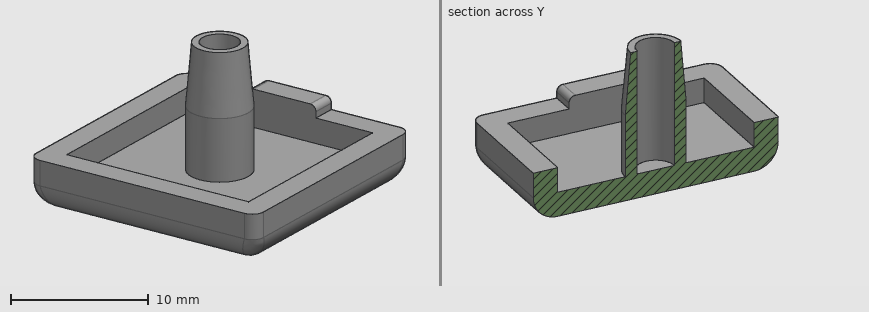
import cadquery as cq

side = 20.0
tray_height = 4.0
wall = 2.0
floor = 2.0
corner_radius = 1.0
bottom_radius = 2.0

total_height = 12.0
taper_height = 5.0
post_radius = 2.5
tip_radius = 2.05
bore_radius = 1.5
bore_bottom = floor

tab_width = 6.0
tab_height = 1.0
tab_round = 0.5


def make_tray():
    """Block with rounded upright and lower edges and a square pocket."""
    block = (
        cq.Workplane("XY")
        .box(side, side, tray_height, centered=(True, True, False))
        .edges("|Z")
        .fillet(corner_radius)
        .faces("<Z")
        .edges()
        .fillet(bottom_radius)
    )
    pocket_side = side - 2 * wall
    pocket = (
        cq.Workplane("XY")
        .workplane(offset=floor)
        .rect(pocket_side, pocket_side)
        .extrude(tray_height - floor)
    )
    return block.cut(pocket)


def make_post():
    """Solid post standing on the pocket floor, profile revolved about Z."""
    return (
        cq.Workplane("XZ")
        .moveTo(0, floor)
        .lineTo(post_radius, floor)
        .lineTo(post_radius, total_height - taper_height)
        .lineTo(tip_radius, total_height)
        .lineTo(0, total_height)
        .close()
        .revolve(360, (0, 0, 0), (0, 1, 0))
    )


def make_bore():
    """Blind round hole down the middle of the post."""
    return (
        cq.Workplane("XY")
        .workplane(offset=bore_bottom)
        .circle(bore_radius)
        .extrude(total_height - bore_bottom)
    )


def make_tab():
    """Low block across the thickness of the wall, with its upper end edges rounded."""
    return (
        cq.Workplane("XY")
        .workplane(offset=tray_height)
        .center(0, (side - wall) / 2)
        .rect(tab_width, wall)
        .extrude(tab_height)
        .faces(">Z")
        .edges("|Y")
        .fillet(tab_round)
    )


result = make_tray().union(make_post()).union(make_tab()).cut(make_bore())